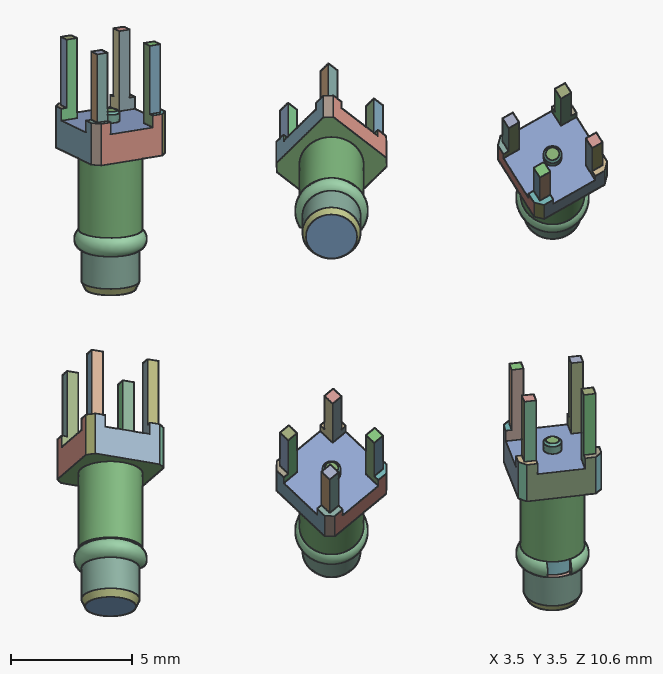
import cadquery as cq

block_width = 3.5
block_corner_chamfer = 0.3
block_bottom = 5.91
block_floor = 7.18
block_top = 7.69
post_pitch = 2.5
post_width = 0.5
post_top = 10.61
pad_inner_edge = (post_pitch - post_width) / 2

pin_diameter = 0.75
pin_top = 7.63
pin_chamfer = 0.1

barrel_diameter = 2.65
nose_diameter = 2.4
nose_tip_diameter = 2.1
nose_chamfer_height = 0.32

ring_bottom = 1.7
ring_height = 0.84
ring_diameter = 3.0
ring_gap = 1.0
ring_top = ring_bottom + ring_height
ring_middle = ring_bottom + ring_height / 2
ring_inner_diameter = 2.26
ring_flat_diameter = 2.4
groove_diameter = 2.0


def make_body():
    """Turned barrel, ring groove and chamfered nose."""
    profile = [
        (0, 0),
        (nose_tip_diameter / 2, 0),
        (nose_diameter / 2, nose_chamfer_height),
        (nose_diameter / 2, ring_bottom),
        (groove_diameter / 2, ring_bottom),
        (groove_diameter / 2, ring_top),
        (barrel_diameter / 2, ring_top),
        (barrel_diameter / 2, block_bottom),
        (0, block_bottom),
    ]
    return cq.Workplane("XZ").polyline(profile).close().revolve(360, (0, 0, 0), (0, 1, 0))


def make_snap_ring():
    """Split ring with a rounded outer face and parallel gap walls."""
    ring = (
        cq.Workplane("XZ")
        .moveTo(ring_inner_diameter / 2, ring_bottom)
        .lineTo(ring_flat_diameter / 2, ring_bottom)
        .threePointArc((ring_diameter / 2, ring_middle), (ring_flat_diameter / 2, ring_top))
        .lineTo(ring_inner_diameter / 2, ring_top)
        .close()
        .revolve(360, (0, 0, 0), (0, 1, 0))
    )
    gap = (
        cq.Workplane("XY", origin=(0, 0, ring_bottom))
        .box(ring_diameter, ring_gap, ring_height, centered=(True, True, False))
        .translate((-ring_diameter / 2, 0, 0))
    )
    return ring.cut(gap)


def make_block():
    """Chamfered square block with a cross-shaped recess that leaves four corner pads."""
    block = (
        cq.Workplane("XY", origin=(0, 0, block_bottom))
        .rect(block_width, block_width)
        .extrude(block_top - block_bottom)
        .edges("|Z")
        .chamfer(block_corner_chamfer)
    )
    channel_width = 2 * pad_inner_edge
    for length_x, length_y in [(block_width, channel_width), (channel_width, block_width)]:
        channel = (
            cq.Workplane("XY", origin=(0, 0, block_floor))
            .rect(length_x, length_y)
            .extrude(block_top - block_floor)
        )
        block = block.cut(channel)
    return block


def make_posts():
    """Four square posts rising from inside the block."""
    return (
        cq.Workplane("XY", origin=(0, 0, block_floor))
        .rarray(post_pitch, post_pitch, 2, 2)
        .rect(post_width, post_width)
        .extrude(post_top - block_floor)
    )


def make_center_pin():
    """Chamfered round pin standing on the block floor."""
    return (
        cq.Workplane("XY", origin=(0, 0, block_floor))
        .circle(pin_diameter / 2)
        .extrude(pin_top - block_floor)
        .faces(">Z")
        .chamfer(pin_chamfer)
    )


result = make_body()
for component in (make_snap_ring(), make_block(), make_posts(), make_center_pin()):
    result = result.union(component)